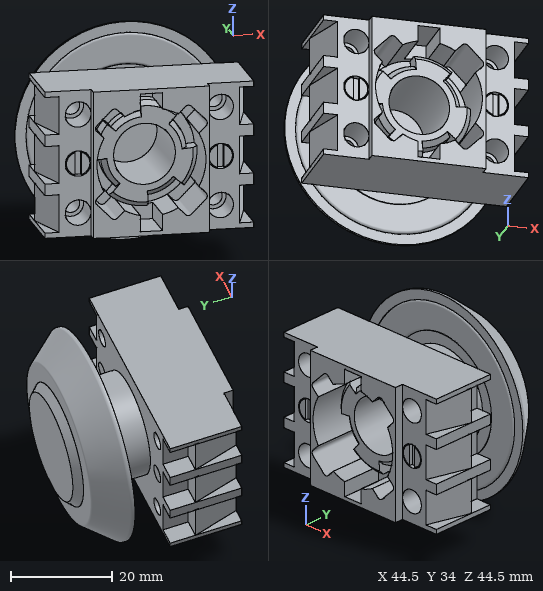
import cadquery as cq
import math


BLOCK_WIDTH = 42.2
BLOCK_HEIGHT = 29.9
BLOCK_DEPTH = 15.3
STEP_WIDTH = 23.5
STEP_DEPTH = 2.0
SOCKET_RADIUS = 11.0
SOCKET_DEPTH = 12.0

KEYWAY_WIDTH = 4.5
KEYWAY_REACH = 14.05
KEYWAY_DEPTH = 9.55
DIAGONAL_WIDTH = 5.87
DIAGONAL_REACH = 13.5
DIAGONAL_CORNER = 0.85

ROW_PITCH = 10.0
BAY_HEIGHT = 7.65
BAY_ENTRY = 2.9
BAY_RAMP = 9.92
BAY_BACK = 3.75

HOLE_X = 14.37
COUNTERBORE_RADIUS = 2.6
COUNTERBORE_DEPTH = 7.1
HOLE_RADIUS = 1.8
SCREW_HEAD_RADIUS = 2.35
SCREW_SLOT_WIDTH = 1.25
SCREW_SLOT_DEPTH = 0.7

STEM_RADIUS = 10.8
STEM_BORE_RADIUS = 6.25
STEM_BORE_DEPTH = 17.8
STEM_RECESS = 6.75
STEM_GAP = 7.6
LUG_COUNT = 4
LUG_ANGLE = 45.0
LUG_START = 49.5
LUG_HEIGHT = 3.55
LUG_CHAMFER = 1.0
COLLAR_RADIUS = 8.68
COLLAR_CHAMFER = 1.05
BEZEL_RADIUS = 22.25
BEZEL_TOP_RADIUS = 16.9
BEZEL_HEIGHT = 7.2
BEZEL_RIM = 0.7
RIM_ROUND = 0.7
TOP_ROUND = 0.62

GASKET_OUTER_RADIUS = 20.02
GASKET_INNER_RADIUS = 13.57
GASKET_THICKNESS = 0.62
GASKET_ROUND = 0.6
GASKET_PROUD = 0.3

CAP_RADIUS = 12.9
CAP_TOP_RADIUS = 11.35
CAP_HEIGHT = 1.65
CAP_SEAT_DEPTH = 3.55

step_face = -STEP_DEPTH
socket_floor = step_face + SOCKET_DEPTH
stem_end = step_face + STEM_RECESS
lug_root = stem_end + LUG_HEIGHT
gasket_face = BLOCK_DEPTH + STEM_GAP
bezel_back = gasket_face + GASKET_PROUD
gasket_seat = gasket_face + GASKET_THICKNESS
bezel_top = bezel_back + BEZEL_HEIGHT
cap_seat = bezel_top - CAP_SEAT_DEPTH


def plane_at(y):
    """Plane facing +Y at the given Y, with local x = -X and local y = +Z."""
    return cq.Workplane(cq.Plane(origin=(0, y, 0), xDir=(-1, 0, 0), normal=(0, 1, 0)))


def box(width, y_start, y_end, height, x=0.0, z=0.0):
    """Block centred on (x, z) that runs from y_start to y_end."""
    return cq.Workplane("XY").box(width, y_end - y_start, height).translate((x, (y_start + y_end) / 2, z))


def cylinder(radius, y_start, y_end, x=0.0, z=0.0):
    """Cylinder along Y from y_start to y_end."""
    return plane_at(y_start).circle(radius).extrude(y_end - y_start).translate((x, 0, z))


def revolve_y(profile):
    """Full turn about the Y axis of a closed (radius, y) profile."""
    return profile.revolve(360, (0, 0, 0), (0, 1, 0))


def terminal_bay(side, z):
    """Side bay: a ramp that rises to the side face, and a square notch behind it."""
    outer = BLOCK_WIDTH / 2
    notch_floor = outer - BAY_BACK
    ramp = (
        cq.Workplane("XY", origin=(0, 0, z - BAY_HEIGHT / 2))
        .polyline([(side * outer, 0), (side * (outer - BAY_ENTRY), 0), (side * outer, BAY_RAMP)])
        .close()
        .extrude(BAY_HEIGHT)
    )
    notch = box(BAY_BACK, BAY_RAMP, BLOCK_DEPTH, BAY_HEIGHT, side * (notch_floor + outer) / 2, z)
    return ramp, notch


def counterbored_hole(x, z):
    return cylinder(HOLE_RADIUS, 0, BLOCK_DEPTH, x, z).union(
        cylinder(COUNTERBORE_RADIUS, 0, COUNTERBORE_DEPTH, x, z)
    )


def diagonal_keyways():
    """Two crossed bars with rounded corners, one along each diagonal."""
    bar = (
        box(2 * DIAGONAL_REACH, step_face, socket_floor, DIAGONAL_WIDTH)
        .edges("|Y")
        .fillet(DIAGONAL_CORNER)
    )
    return [bar.rotate((0, 0, 0), (0, 1, 0), angle) for angle in (45, -45)]


def make_block():
    block = box(BLOCK_WIDTH, 0, BLOCK_DEPTH, BLOCK_HEIGHT)
    block = block.union(box(STEP_WIDTH, step_face, BLOCK_DEPTH, BLOCK_HEIGHT))
    block = block.cut(cylinder(SOCKET_RADIUS, step_face, socket_floor))
    block = block.cut(cylinder(STEM_RADIUS, socket_floor, BLOCK_DEPTH))
    block = block.cut(box(KEYWAY_WIDTH, step_face, step_face + KEYWAY_DEPTH, 2 * KEYWAY_REACH))
    for keyway in diagonal_keyways():
        block = block.cut(keyway)
    for side in (-1, 1):
        for row in (-1, 0, 1):
            block = block.cut(counterbored_hole(side * HOLE_X, row * ROW_PITCH))
            for cutter in terminal_bay(side, row * ROW_PITCH):
                block = block.cut(cutter)
    return block


def make_screw(x):
    """Slotted screw whose head is flush with the main front face of the block."""
    head = cylinder(SCREW_HEAD_RADIUS, 0, COUNTERBORE_DEPTH, x)
    shank = cylinder(HOLE_RADIUS, COUNTERBORE_DEPTH, BLOCK_DEPTH, x)
    slot = box(SCREW_SLOT_WIDTH, 0, SCREW_SLOT_DEPTH, 2 * SCREW_HEAD_RADIUS, x)
    return head.union(shank).cut(slot)


def chamfered_end(radius, chamfer):
    """Cylinder over the lug height, chamfered at the open end of the stem."""
    return cylinder(radius, stem_end, lug_root).faces("<Y").chamfer(chamfer)


def lug_sector(start_angle):
    """Wedge that spans one lug, wide enough to reach past the stem."""
    reach = 2 * STEM_RADIUS
    corners = [(0, 0)]
    for angle in (start_angle, start_angle + LUG_ANGLE):
        corners.append((reach * math.cos(math.radians(angle)), reach * math.sin(math.radians(angle))))
    return cq.Workplane("XZ", origin=(0, stem_end, 0)).polyline(corners).close().extrude(-LUG_HEIGHT)


def make_stem():
    stem = cylinder(STEM_RADIUS, lug_root, gasket_seat)
    stem = stem.union(chamfered_end(COLLAR_RADIUS, COLLAR_CHAMFER))
    lug_ring = chamfered_end(STEM_RADIUS, LUG_CHAMFER)
    for index in range(LUG_COUNT):
        start_angle = LUG_START + index * 360 / LUG_COUNT
        stem = stem.union(lug_ring.intersect(lug_sector(start_angle)))
    return stem


def make_bezel():
    """Conical disc with a rounded rim, recessed at the back for the gasket and in front for the cap."""
    rim_top = bezel_back + BEZEL_RIM
    bezel = revolve_y(
        cq.Workplane("XY")
        .moveTo(0, bezel_back)
        .lineTo(BEZEL_RADIUS, bezel_back)
        .lineTo(BEZEL_RADIUS, rim_top)
        .lineTo(BEZEL_TOP_RADIUS, bezel_top)
        .lineTo(0, bezel_top)
        .close()
    )
    bezel = bezel.faces(">Y").edges().fillet(TOP_ROUND)
    bezel = bezel.edges(cq.selectors.RadiusNthSelector(-1)).edges(">Y").fillet(RIM_ROUND)
    bezel = bezel.cut(cylinder(GASKET_OUTER_RADIUS, bezel_back, gasket_seat))
    return bezel.cut(cylinder(CAP_RADIUS, cap_seat, bezel_top))


def make_actuator():
    bore = cylinder(STEM_BORE_RADIUS, stem_end, stem_end + STEM_BORE_DEPTH)
    return make_stem().union(make_bezel()).cut(bore)


def make_gasket():
    """Flat ring with both edges of its exposed face rounded."""
    ring = cylinder(GASKET_OUTER_RADIUS, gasket_face, gasket_seat)
    ring = ring.cut(cylinder(GASKET_INNER_RADIUS, gasket_face, gasket_seat))
    return ring.faces("<Y").edges().fillet(GASKET_ROUND)


def make_cap():
    cap_top = bezel_top + CAP_HEIGHT
    return revolve_y(
        cq.Workplane("XY")
        .polyline([
            (0, cap_seat),
            (CAP_RADIUS, cap_seat),
            (CAP_RADIUS, bezel_top),
            (CAP_TOP_RADIUS, cap_top),
            (0, cap_top),
        ])
        .close()
    )


block = make_block()
screws = [make_screw(side * HOLE_X) for side in (-1, 1)]
actuator = make_actuator()
gasket = make_gasket()
cap = make_cap()

result = cq.Compound.makeCompound(
    [block.val(), *[screw.val() for screw in screws], actuator.val(), gasket.val(), cap.val()]
)